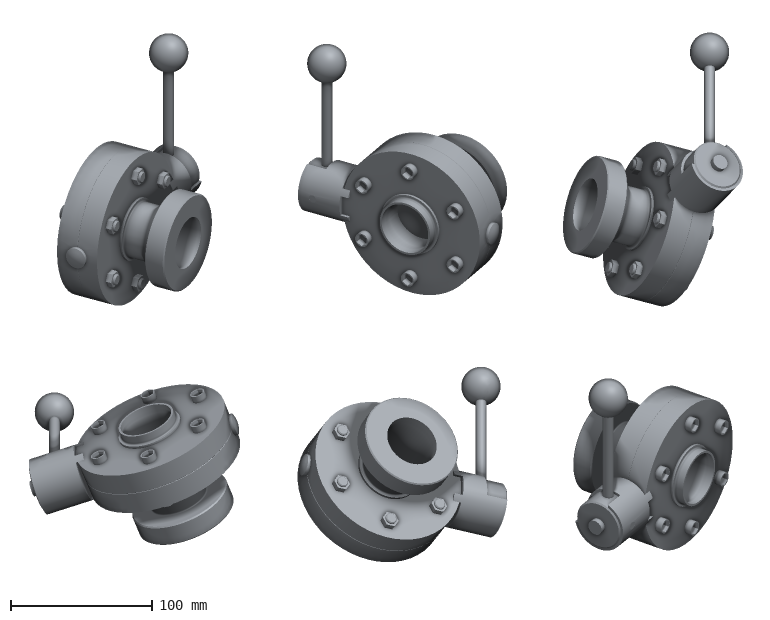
import cadquery as cq
import math


BORE_R = 19.0
PIPE_R = 20.5
PIPE_FILLET = 1.0
FLANGE_R = 56.1
FLANGE_T = 16.2
PARTING_CHAMFER = 0.25
COLLAR_R = 23.1
COLLAR_T = 1.9
LEFT_END_X = -25.0
RIGHT_END_X = 58.8

NUT_R = 35.7
NUT_BORE_R = 22.5
NUT_T = 15.6
NUT_CHAMFER = 0.8
NUT_FACE_X = RIGHT_END_X - NUT_T

BOLT_COUNT = 6
BOLT_CIRCLE_R = 43.2
HEAD_R = 5.3
HEAD_H = 5.5
SOCKET_FLATS = 8.2
BOLT_NUT_FLATS = 10.5
BOLT_NUT_H = 4.5
BOLT_TIP_R = 4.0
BOLT_TIP_H = 1.7
BOLT_TIP_CHAMFER = 0.7

DISC_HALF_T = 2.7
DISH_R = 153.0
STEM_R = 5.6
NECK_LENGTH = 2.5
STEM_END_Y = 95.0
PLUG_R = 7.8
PLUG_RIM_Y = -58.1
PLUG_TIP_Y = -60.0

SLEEVE_R = 20.5
SLEEVE_END_Y = 90.0
PRONG_LENGTH = 6.3
PRONG_INNER_Z = 7.8
PRONG_OUTER_Z = 12.8
SPOT_R = 2.9

ROD_R = 3.9
ROD_Y = 78.2
BALL_R = 14.0
BALL_Z = 113.9 - BALL_R
HUB_R = 18.5
HUB_END_Y = 91.0
SLOT_EDGE_X = -7.6
SLOT_EDGE_Z = -4.0

SLOT_START_Y = ROD_Y - ROD_R
NECK_R = DISC_HALF_T
NECK_END_Y = BORE_R + NECK_LENGTH


def rod_x(radius, x_start, x_end):
    """Cylinder along X on the pipe axis."""
    return cq.Workplane("YZ", origin=(x_start, 0, 0)).circle(radius).extrude(x_end - x_start)


def rod_y(radius, y_start, y_end):
    """Cylinder along Y on the stem axis."""
    return cq.Workplane("XZ", origin=(0, y_start, 0)).circle(radius).extrude(y_start - y_end)


def hexagon_x(flats, x_start, height, angle):
    """Hexagonal prism along X; an angle of 0 puts corners on the Y axis."""
    return (
        cq.Workplane("YZ", origin=(x_start, 0, 0))
        .transformed(rotate=(0, 0, angle))
        .polygon(6, flats / math.cos(math.pi / 6))
        .extrude(height)
    )


def at_bolts(shape):
    """Union of copies of a shape at every place on the bolt circle."""
    copies = cq.Workplane()
    for i in range(BOLT_COUNT):
        angle = 2 * math.pi * i / BOLT_COUNT
        y = BOLT_CIRCLE_R * math.sin(angle)
        z = BOLT_CIRCLE_R * math.cos(angle)
        copies = copies.add(shape.translate((0, y, z)))
    return copies.combine()


def fillet_to_face(x, r):
    """Midpoint of a quarter fillet of radius r from the pipe to a face at x on its +X side."""
    offset = r * math.sqrt(0.5)
    return (x - r + offset, PIPE_R + r - offset)


def half_profile(pipe_length):
    """Radial profile of the flange, collar and pipe, from the parting plane towards +X."""
    collar_x = FLANGE_T + COLLAR_T
    c = PARTING_CHAMFER
    mid_x, mid_r = fillet_to_face(0, PIPE_FILLET)
    return (
        cq.Workplane("XY")
        .moveTo(0, 0)
        .lineTo(0, FLANGE_R - c)
        .lineTo(c, FLANGE_R)
        .lineTo(FLANGE_T, FLANGE_R)
        .lineTo(FLANGE_T, COLLAR_R)
        .lineTo(collar_x, COLLAR_R)
        .lineTo(collar_x, PIPE_R + PIPE_FILLET)
        .threePointArc((collar_x - mid_x, mid_r), (collar_x + PIPE_FILLET, PIPE_R))
        .lineTo(pipe_length, PIPE_R)
        .lineTo(pipe_length, 0)
        .close()
    )


def half_blank(pipe_length):
    """Flange, collar and pipe as a solid of revolution towards +X."""
    return half_profile(pipe_length).revolve(360, (0, 0, 0), (1, 0, 0))


def open_half(half):
    """Cut the pipe bore and the bearing holes of the stem into a half."""
    bore = rod_x(BORE_R, LEFT_END_X, RIGHT_END_X)
    plug_hole = rod_y(PLUG_R, -FLANGE_R, -NECK_END_Y)
    neck_hole = rod_y(NECK_R, -NECK_END_Y, NECK_END_Y)
    stem_hole = rod_y(STEM_R, NECK_END_Y, FLANGE_R)
    return half.cut(bore).cut(plug_hole).cut(neck_hole).cut(stem_hole)


def make_left_half():
    """Half with the weld end and the socket heads of the bolts."""
    half = open_half(half_blank(-LEFT_END_X).mirror("YZ"))
    head = rod_x(HEAD_R, -FLANGE_T - HEAD_H, -FLANGE_T)
    socket = hexagon_x(SOCKET_FLATS, -FLANGE_T - HEAD_H, HEAD_H, 30)
    return half.union(at_bolts(head.cut(socket)))


def make_right_half():
    """Half with the pipe end inside the union nut and the nuts and tips of the bolts."""
    half = half_blank(NUT_FACE_X)
    fillet = (
        cq.Workplane("XY")
        .moveTo(NUT_FACE_X - PIPE_FILLET, 0)
        .lineTo(NUT_FACE_X - PIPE_FILLET, PIPE_R)
        .threePointArc(fillet_to_face(NUT_FACE_X, PIPE_FILLET), (NUT_FACE_X, PIPE_R + PIPE_FILLET))
        .lineTo(NUT_FACE_X, 0)
        .close()
        .revolve(360, (0, 0, 0), (1, 0, 0))
    )
    pipe_end = rod_x(NUT_BORE_R, NUT_FACE_X, RIGHT_END_X)
    half = open_half(half.union(fillet).union(pipe_end))
    bolt_nut = hexagon_x(BOLT_NUT_FLATS, FLANGE_T, BOLT_NUT_H, 0)
    tip_x = FLANGE_T + BOLT_NUT_H
    tip = rod_x(BOLT_TIP_R, tip_x, tip_x + BOLT_TIP_H).faces(">X").chamfer(BOLT_TIP_CHAMFER)
    return half.union(at_bolts(bolt_nut.union(tip)))


def make_union_nut():
    """Plain ring around the right pipe end, chamfered on both outer edges."""
    ring = rod_x(NUT_R, NUT_FACE_X, RIGHT_END_X).faces("<X or >X").chamfer(NUT_CHAMFER)
    return ring.cut(rod_x(NUT_BORE_R, NUT_FACE_X, RIGHT_END_X))


def dome_midpoint():
    """Point halfway along the dome arc between its rim and its tip."""
    height = PLUG_RIM_Y - PLUG_TIP_Y
    dome_r = (PLUG_R**2 + height**2) / (2 * height)
    half_angle = math.asin(PLUG_R / dome_r) / 2
    return (dome_r * math.sin(half_angle), PLUG_TIP_Y + dome_r * (1 - math.cos(half_angle)))


def make_disc():
    """Disc dished on both faces, with the stem on its +Y side and the domed plug on its -Y side."""
    disc = rod_x(BORE_R, -DISC_HALF_T, DISC_HALF_T)
    dish_depth = DISH_R - math.sqrt(DISH_R**2 - BORE_R**2)
    for side in (-1, 1):
        axis_x = side * (DISC_HALF_T - dish_depth + DISH_R)
        dish = cq.Workplane("XY", origin=(axis_x, 0, -BORE_R)).circle(DISH_R).extrude(2 * BORE_R)
        disc = disc.cut(dish)
    stem = (
        cq.Workplane("XY")
        .moveTo(0, PLUG_TIP_Y)
        .lineTo(0, STEM_END_Y)
        .lineTo(STEM_R, STEM_END_Y)
        .lineTo(STEM_R, NECK_END_Y)
        .lineTo(NECK_R, NECK_END_Y)
        .lineTo(NECK_R, -NECK_END_Y)
        .lineTo(PLUG_R, -NECK_END_Y)
        .lineTo(PLUG_R, PLUG_RIM_Y)
        .threePointArc(dome_midpoint(), (0, PLUG_TIP_Y))
        .close()
        .revolve(360, (0, 0, 0), (0, 1, 0))
    )
    return disc.union(stem.cut(rod_x(BORE_R, -FLANGE_T, FLANGE_T)))


def box_between(corner, opposite):
    """Box between two opposite corners, the first one lowest on every axis."""
    sizes = [end - start for start, end in zip(corner, opposite)]
    return cq.Workplane("XY").box(*sizes, centered=False).translate(corner)


def make_prong(side):
    """Pair of blocks on both flange faces, at the positive or negative z given by the side's sign."""
    prong_y = FLANGE_R - PRONG_LENGTH
    middle_z = side * (PRONG_INNER_Z + PRONG_OUTER_Z) / 2
    half_width = (PRONG_OUTER_Z - PRONG_INNER_Z) / 2
    band = box_between(
        (-SLEEVE_R, prong_y, middle_z - half_width), (SLEEVE_R, FLANGE_R, middle_z + half_width)
    )
    flange_gap = box_between((-FLANGE_T, prong_y, -SLEEVE_R), (FLANGE_T, FLANGE_R, SLEEVE_R))
    return band.intersect(rod_y(SLEEVE_R, prong_y, FLANGE_R)).cut(flange_gap)


def make_sleeve():
    """Fixed sleeve with prongs that straddle the flange and a quarter-turn slot for the lever."""
    sleeve = rod_y(SLEEVE_R, FLANGE_R, SLEEVE_END_Y)
    sleeve = sleeve.union(make_prong(1)).union(make_prong(-1))
    sleeve = sleeve.cut(rod_y(HUB_R, FLANGE_R - PRONG_LENGTH, SLEEVE_END_Y))
    slot = box_between(
        (SLOT_EDGE_X, SLOT_START_Y, SLOT_EDGE_Z), (SLEEVE_R, SLEEVE_END_Y, SLEEVE_R)
    )
    sleeve = sleeve.cut(slot)
    spot_x = -math.sqrt(SLEEVE_R**2 - SPOT_R**2)
    spot = rod_x(SPOT_R, -SLEEVE_R, spot_x).translate((0, ROD_Y, 0))
    return sleeve.cut(spot)


def make_lever():
    """Turning hub on the stem with the lever rod and its ball."""
    hub = rod_y(HUB_R, FLANGE_R, HUB_END_Y).faces(">Y").chamfer(HUB_END_Y - SLEEVE_END_Y)
    rod = cq.Workplane("XY", origin=(0, ROD_Y, 0)).circle(ROD_R).extrude(BALL_Z)
    ball = cq.Workplane("XY", origin=(0, ROD_Y, BALL_Z)).sphere(BALL_R)
    return hub.union(rod).union(ball).cut(rod_y(STEM_R, FLANGE_R, HUB_END_Y))


left_half = make_left_half()
right_half = make_right_half()
union_nut = make_union_nut()
disc = make_disc()
sleeve = make_sleeve()
lever = make_lever()

result = cq.Compound.makeCompound(
    [
        left_half.val(),
        right_half.val(),
        union_nut.val(),
        disc.val(),
        sleeve.val(),
        lever.val(),
    ]
)